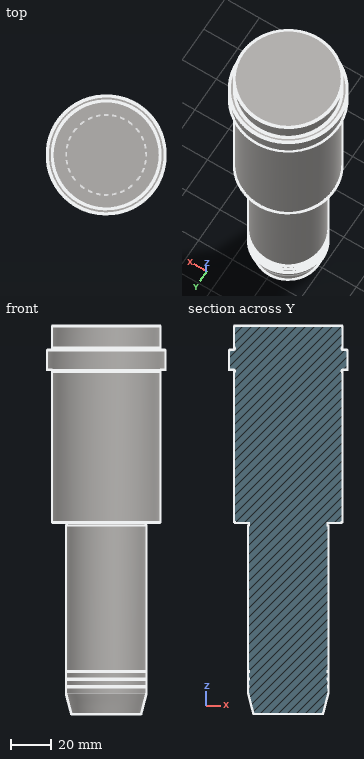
import cadquery as cq


body_radius = 27.0
collar_radius = 29.5
shaft_radius = 20.0
nose_tip_radius = 17.4

total_length = 193.0
collar_top = 181.0
collar_bottom = 171.0
body_bottom = 95.0
nose_height = 10.5

top_chamfer = 0.4
collar_chamfer = 0.48
body_chamfer = 0.5
nose_edge_radius = 0.4

relief_width = 1.2
relief_depth = 0.4

ring_count = 3
lowest_ring_height = 13.7
highest_ring_height = 21.2
ring_width = 0.7
ring_depth = 0.4
ring_pitch = (highest_ring_height - lowest_ring_height) / (ring_count - 1)


def cylinder(radius, bottom, top):
    """Solid cylinder about Z between two heights."""
    return cq.Workplane("XY").workplane(offset=bottom).circle(radius).extrude(top - bottom)


def cut_vee_groove(part, radius, depth, bottom, width):
    """Cut a V-shaped groove of the given depth around a cylinder of the given radius."""
    cutter = (
        cq.Workplane("XZ")
        .polyline([(radius, bottom), (radius - depth, bottom + width / 2), (radius, bottom + width)])
        .close()
        .revolve(360, (0, 0, 0), (0, 1, 0))
    )
    return part.cut(cutter)


def make_nose():
    """Conical nose that narrows toward a rounded bottom edge."""
    cone = (
        cq.Workplane("XY")
        .circle(nose_tip_radius)
        .workplane(offset=nose_height)
        .circle(shaft_radius)
        .loft(ruled=True)
    )
    return cone.faces("<Z").edges().fillet(nose_edge_radius)


def make_shaft():
    """Slim lower shaft with ring grooves and a reduced neck at its upper end."""
    neck_bottom = body_bottom - relief_width
    shaft = cylinder(shaft_radius, nose_height, neck_bottom)
    for index in range(ring_count):
        ring_bottom = lowest_ring_height + index * ring_pitch - ring_width / 2
        shaft = cut_vee_groove(shaft, shaft_radius, ring_depth, ring_bottom, ring_width)
    neck = cylinder(shaft_radius - relief_depth, neck_bottom, body_bottom)
    return shaft.union(neck)


def make_body():
    """Thick upper body, chamfered at both ends and grooved on both sides of the collar."""
    body = cylinder(body_radius, body_bottom, total_length)
    body = body.faces("<Z").edges().chamfer(body_chamfer)
    body = body.faces(">Z").edges().chamfer(top_chamfer)
    for relief_bottom in (collar_top, collar_bottom - relief_width):
        body = cut_vee_groove(body, body_radius, relief_depth, relief_bottom, relief_width)
    return body


def make_collar():
    """Collar around the body, chamfered on its upper edge."""
    collar = cylinder(collar_radius, collar_bottom, collar_top)
    return collar.faces(">Z").edges().chamfer(collar_chamfer)


result = make_nose().union(make_shaft()).union(make_body()).union(make_collar())